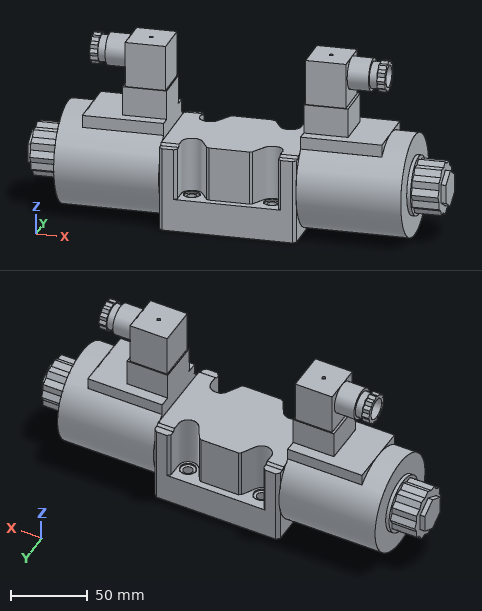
import cadquery as cq
import math

total_length = 282.2
total_height = 120.2

block_length = 92.5
block_width = 70.0
block_height = 58.7
block_corner_chamfer = 2.3

hole_x = 27.0
hole_y = 22.9
hole_diameter = 6.8
spotface_diameter = 11.0
spotface_depth = 1.0

pocket_floor = 22.3
pocket_radius = 7.0
pocket_mouth_chamfer = 2.0
island_half_width = 30.0
island_edge_chamfer = 1.0
island_wall_angle = math.radians(60)
pocket_wall_x = hole_x + pocket_radius

shoulder_drop = 1.7

coil_outer_x = 117.0
coil_radius = 34.7
coil_axis_z = 35.0
coil_top = coil_axis_z + coil_radius
collar_radius = 20.0
collar_length = 2.5
knob_tip_radius = 18.3
hex_flats = 21.7
hex_length = 3.5

pad_length = 54.7
pad_width = 45.2
pad_thickness = 8.7

plug_base_size = 30.0
plug_base_top = 89.5
plug_head_length = 27.5
plug_head_width = 28.2
plug_head_inset = 0.8
screw_hole_diameter = 2.3
screw_hole_depth = 1.5
gland_radius = 11.0
gland_length = 14.5
gland_neck_radius = 9.0
gland_neck_length = 5.5
gland_nut_tip_radius = 10.7
gland_nut_length = 5.5
gland_bore_radius = 7.3

half_length = total_length / 2
half_block = block_length / 2
half_width = block_width / 2


def box_between(x0, x1, width, z0, z1):
    """Box from x0 to x1 and z0 to z1, centred on Y."""
    base = cq.Workplane("XY", origin=(x0, 0, z0))
    return base.box(x1 - x0, width, z1 - z0, centered=(False, True, False))


def x_plane(x, z):
    """Plane facing +X whose origin lies on a horizontal axis at height z."""
    return cq.Workplane("YZ", origin=(x, 0, z))


def rod(x0, x1, radius, z):
    """Cylinder along X."""
    return x_plane(x0, z).circle(radius).extrude(x1 - x0)


def twelve_point_bar(x0, x1, tip_radius, z):
    """Bar along X made of two hexagons turned 30 degrees apart."""
    bar = x_plane(x0, z).polygon(6, 2 * tip_radius).extrude(x1 - x0)
    return bar.union(bar.rotate((0, 0, z), (1, 0, z), 30))


def make_pockets():
    """Cutters for both sides, each open outward and wrapping the central island."""
    sin_wall = math.sin(island_wall_angle)
    cos_wall = math.cos(island_wall_angle)
    tangent_x = hole_x - pocket_radius * sin_wall
    tangent_y = hole_y - pocket_radius * cos_wall
    corner_x = tangent_x - (island_half_width - tangent_y) / math.tan(island_wall_angle)
    bevel_x = corner_x + island_edge_chamfer * cos_wall
    bevel_y = island_half_width - island_edge_chamfer * sin_wall
    arc_middle = (hole_x, hole_y - pocket_radius)
    mouth_x = pocket_wall_x + pocket_mouth_chamfer
    mouth_y = half_width - pocket_mouth_chamfer
    half = (
        cq.Workplane("XY", origin=(0, 0, pocket_floor))
        .moveTo(0, island_half_width)
        .lineTo(corner_x - island_edge_chamfer, island_half_width)
        .lineTo(bevel_x, bevel_y)
        .lineTo(tangent_x, tangent_y)
        .threePointArc(arc_middle, (pocket_wall_x, hole_y))
        .lineTo(pocket_wall_x, mouth_y)
        .lineTo(mouth_x, half_width)
        .lineTo(0, half_width)
        .close()
        .extrude(block_height)
    )
    side = half.union(half.mirror("YZ"))
    return side.union(side.mirror("XZ"))


def make_shoulders():
    """Cutters that lower the top corners, each ending in a 45 degree slope."""
    low_z = block_height - shoulder_drop
    slope_top_y = island_half_width - shoulder_drop
    length = half_block - pocket_wall_x
    corner = (
        cq.Workplane("YZ", origin=(pocket_wall_x, 0, 0))
        .polyline([
            (slope_top_y, block_height),
            (island_half_width, low_z),
            (half_width, low_z),
            (half_width, block_height),
        ])
        .close()
        .extrude(length)
    )
    pair = corner.union(corner.mirror("XZ"))
    return pair.union(pair.mirror("YZ"))


def make_block():
    """Valve block with its pockets, lowered shoulders and spotfaced through holes."""
    block = box_between(-half_block, half_block, block_width, 0, block_height)
    block = block.edges("|Z").chamfer(block_corner_chamfer)
    block = block.cut(make_pockets()).cut(make_shoulders())
    floor = cq.Workplane("XY", origin=(0, 0, pocket_floor))
    centers = floor.rect(2 * hole_x, 2 * hole_y, forConstruction=True).vertices()
    holes = centers.circle(hole_diameter / 2).extrude(-pocket_floor)
    spotfaces = centers.circle(spotface_diameter / 2).extrude(-spotface_depth)
    return block.cut(holes).cut(spotfaces)


def make_coil():
    """Solenoid on the +X side, with its pad, collar, knob and hex end."""
    collar_end = coil_outer_x + collar_length
    knob_end = half_length - hex_length
    coil = rod(half_block, coil_outer_x, coil_radius, coil_axis_z)
    pad = box_between(half_block, half_block + pad_length, pad_width, coil_top - pad_thickness, coil_top)
    collar = rod(coil_outer_x, collar_end, collar_radius, coil_axis_z)
    knob = twelve_point_bar(collar_end, knob_end, knob_tip_radius, coil_axis_z)
    hex_end = x_plane(knob_end, coil_axis_z).polygon(6, hex_flats, circumscribed=True).extrude(hex_length)
    return coil.union(pad).union(collar).union(knob).union(hex_end)


def make_plug():
    """Plug standing on the +X pad, its cable gland pointing outward."""
    head_start = half_block + plug_head_inset
    head_end = head_start + plug_head_length
    gland_end = head_end + gland_length
    neck_end = gland_end + gland_neck_length
    nut_end = neck_end + gland_nut_length
    gland_axis_z = total_height - gland_radius

    base = box_between(half_block, half_block + plug_base_size, plug_base_size, coil_top, plug_base_top)
    head = box_between(head_start, head_end, plug_head_width, plug_base_top, total_height)
    screw_hole = (
        cq.Workplane("XY", origin=((head_start + head_end) / 2, 0, total_height))
        .circle(screw_hole_diameter / 2)
        .extrude(-screw_hole_depth)
    )
    gland = rod(head_end, gland_end, gland_radius, gland_axis_z)
    neck = rod(gland_end, neck_end, gland_neck_radius, gland_axis_z)
    nut = twelve_point_bar(neck_end, nut_end, gland_nut_tip_radius, gland_axis_z)
    bore = rod(head_end, nut_end, gland_bore_radius, gland_axis_z)
    plug = base.union(head.cut(screw_hole))
    return plug.union(gland.union(neck).union(nut).cut(bore))


solenoid = make_coil().union(make_plug())
result = make_block().union(solenoid).union(solenoid.mirror("YZ"))